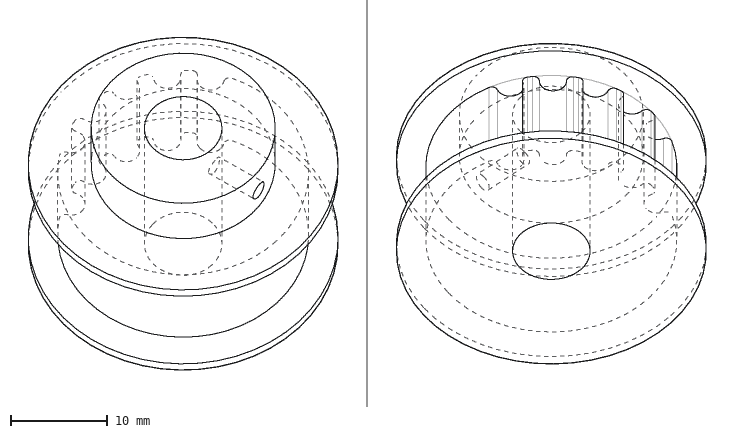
import cadquery as cq
import math

flange_radius = 16.0
rim_thickness = 1.12
flange_thickness = 1.6
body_height = 14.3
total_height = 20.6
hub_radius = 9.5
bore_radius = 4.0
belt_radius = 12.95
screw_radius = 1.0
screw_depth = 3.52

tooth_count = 17
groove_count = 5
groove_radius = 1.4
tip_radius = 0.6
tooth_pitch = 360 / tooth_count
first_groove_angle = 90 + tooth_pitch

tip_offset = groove_radius + tip_radius
groove_center = math.sqrt((belt_radius - tip_radius) ** 2 - tip_offset**2)
tip_angle = math.atan2(tip_offset, groove_center)


def make_flange():
    """Disc with a plain rim and a convex face that flattens out at the belt surface."""
    crown_height = flange_thickness - rim_thickness
    crown_width = flange_radius - belt_radius
    crown_radius = (crown_width**2 + crown_height**2) / (2 * crown_height)
    half_angle = math.asin(crown_width / crown_radius) / 2
    crown_middle = (
        belt_radius + crown_radius * math.sin(half_angle),
        flange_thickness - crown_radius * (1 - math.cos(half_angle)),
    )
    return (
        cq.Workplane("XZ")
        .lineTo(flange_radius, 0)
        .lineTo(flange_radius, rim_thickness)
        .threePointArc(crown_middle, (belt_radius, flange_thickness))
        .lineTo(0, flange_thickness)
        .close()
        .revolve(360, (0, 0), (0, 1))
    )


def make_groove():
    """Cutter for one tooth gap, centred on +X and spanning between the flanges."""
    edge_x = belt_radius * math.cos(tip_angle)
    edge_y = belt_radius * math.sin(tip_angle)
    middle_angle = (tip_angle - math.pi / 2) / 2
    tip_middle_x = groove_center + tip_radius * math.cos(middle_angle)
    tip_middle_y = tip_offset + tip_radius * math.sin(middle_angle)
    return (
        cq.Workplane("XY")
        .workplane(offset=flange_thickness)
        .moveTo(edge_x, edge_y)
        .threePointArc((tip_middle_x, tip_middle_y), (groove_center, groove_radius))
        .threePointArc((groove_center - groove_radius, 0), (groove_center, -groove_radius))
        .threePointArc((tip_middle_x, -tip_middle_y), (edge_x, -edge_y))
        .threePointArc((belt_radius, 0), (edge_x, edge_y))
        .close()
        .extrude(body_height - 2 * flange_thickness)
    )


drum = cq.Workplane("XY").circle(belt_radius).extrude(body_height)
groove = make_groove()
for index in range(groove_count):
    angle = first_groove_angle + index * tooth_pitch
    drum = drum.cut(groove.rotate((0, 0, 0), (0, 0, 1), angle))

lower_flange = make_flange()
upper_flange = lower_flange.mirror("XY").translate((0, 0, body_height))

hub = cq.Workplane("XY").circle(hub_radius).extrude(total_height)
bore = cq.Workplane("XY").circle(bore_radius).extrude(total_height)

screw_height = total_height - screw_depth
screw_hole = (
    cq.Workplane("YZ")
    .center(0, screw_height)
    .circle(screw_radius)
    .extrude(flange_radius)
)

result = drum.union(lower_flange).union(upper_flange).union(hub).cut(bore).cut(screw_hole)